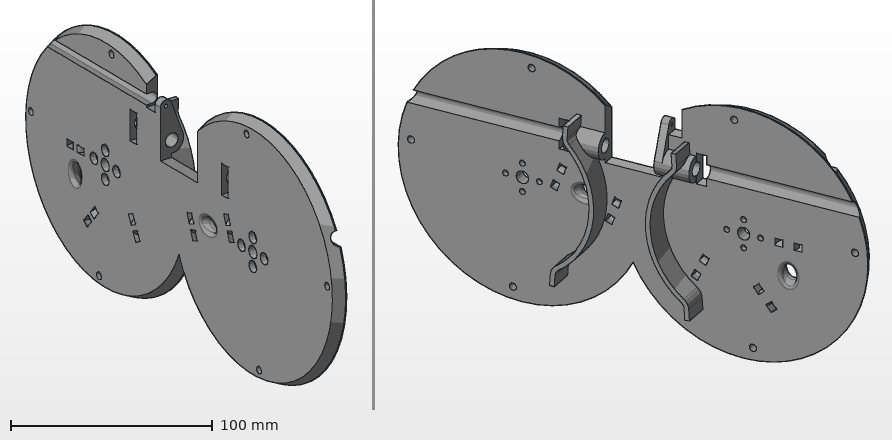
import cadquery as cq
import math


total_length = 264.8
disc_diameter = 140.0
disc_radius = disc_diameter / 2
disc_offset = total_length / 2 - disc_radius
plate_thickness = 7.0
total_depth = 21.0
root_depth = plate_thickness / 2
front_radius = 67.3
rim_land = 0.8

opening_half_width = 15.5
opening_floor = 20.0
notch_left = -27.5
notch_right = -20.0
notch_floor = 45.0
clear_height = 79.5

tab_radius = plate_thickness / 2
hinge_height = 49.3
channel_diameter = 6.0
channel_radius = channel_diameter / 2
pin_hole_radius = 0.93

axle_height = 29.7
axle_diameter = 7.7
axle_radius = axle_diameter / 2
tube_diameter = 14.5
tube_radius = tube_diameter / 2
tube_end = 35.5

clip_outer_diameter = 95.5
clip_outer_radius = clip_outer_diameter / 2
clip_wall = 2.6
clip_bend_radius = 6.5
fin_lean = math.radians(4)
upper_fin_distance = 27.5
lower_fin_distance = 26.2
upper_fin_reach = 45.5
lower_fin_reach = -46.5

window_x = 38.7
window_z = 30.0
window_width = 5.8
window_height = 17.2

edge_hole_radius = 1.99
edge_hole_circle = 63.0
edge_hole_angles = (85.2, 175.2, 265.2)
hub_hole_radius = 3.5
screw_radius = 1.5
screw_head_radius = 3.2
screw_head_depth = 3.5
screw_spacing_x = 9.5
screw_spacing_z = 8.0

cable_hole_radius = 4.0
cable_hole_slant = 40.0
cable_mouth_fillet = 1.99
left_cable_hole = (-87.6, -16.0)
right_cable_hole = (26.0, 0.0)

tie_outer_radius = 8.2
tie_inner_radius = 4.2
tie_width = 4.0
tie_depth = 4.0
tie_loops = (
    (-87.6, 0.0, 0),
    (-37.9, -25.2, -64.5),
    (-74.5, -33.0, 49.5),
    (11.0, -5.8, -70),
    (42.0, 5.3, -70),
)


def box(x_min, x_max, y_min, y_max, z_min, z_max):
    size = (x_max - x_min, y_max - y_min, z_max - z_min)
    return cq.Workplane("XY").box(*size, centered=False).translate((x_min, y_min, z_min))


def plate_box(x_min, x_max, z_min, z_max):
    """Box through the full plate thickness."""
    return box(x_min, x_max, 0, plate_thickness, z_min, z_max)


def rod_y(x, z, radius, y_min, y_max):
    """Cylinder along Y."""
    start = cq.Vector(x, y_min, z)
    return cq.Workplane(cq.Solid.makeCylinder(radius, y_max - y_min, start, cq.Vector(0, 1, 0)))


def rod_x(y, z, radius, x_min, x_max):
    """Cylinder along X."""
    start = cq.Vector(x_min, y, z)
    return cq.Workplane(cq.Solid.makeCylinder(radius, x_max - x_min, start, cq.Vector(1, 0, 0)))


def disc(center_x):
    half_profile = [
        (0, 0),
        (0, front_radius),
        (plate_thickness - rim_land, disc_radius),
        (plate_thickness, disc_radius),
        (plate_thickness, 0),
    ]
    body = cq.Workplane("YZ").polyline(half_profile).close().revolve(360, (0, 0), (1, 0))
    return body.translate((center_x, 0, 0))


def mirrored(body):
    return body.union(body.mirror("YZ"))


def fin_point(distance, reach):
    """Point at `distance` across and `reach` along the leaning fin direction, from the disc centre."""
    x = distance * math.cos(fin_lean) + reach * math.sin(fin_lean)
    z = reach * math.cos(fin_lean) - distance * math.sin(fin_lean)
    return (x - disc_offset, z)


def fin_root(distance, radius, side):
    """Where a fin face meets a circle about the disc centre, above (+1) or below (-1)."""
    return fin_point(distance, side * math.sqrt(radius**2 - distance**2))


def left_clip():
    inner_radius = clip_outer_radius - clip_wall
    upper_outer = upper_fin_distance + clip_wall
    lower_outer = lower_fin_distance + clip_wall
    upper_inner_root = fin_root(upper_fin_distance, inner_radius, 1)
    lower_inner_root = fin_root(lower_fin_distance, inner_radius, -1)
    upper_outer_root = fin_root(upper_outer, clip_outer_radius, 1)
    lower_outer_root = fin_root(lower_outer, clip_outer_radius, -1)
    clip = (
        cq.Workplane("XZ")
        .moveTo(*fin_point(upper_fin_distance, upper_fin_reach))
        .lineTo(*upper_inner_root)
        .threePointArc((inner_radius - disc_offset, 0), lower_inner_root)
        .lineTo(*fin_point(lower_fin_distance, lower_fin_reach))
        .lineTo(*fin_point(lower_outer, lower_fin_reach))
        .lineTo(*lower_outer_root)
        .threePointArc((clip_outer_radius - disc_offset, 0), upper_outer_root)
        .lineTo(*fin_point(upper_outer, upper_fin_reach))
        .close()
        .extrude(-total_depth)
    )
    bends = (
        (upper_inner_root, clip_bend_radius),
        (lower_inner_root, clip_bend_radius),
        (upper_outer_root, clip_bend_radius - clip_wall),
        (lower_outer_root, clip_bend_radius - clip_wall),
    )
    for (x, z), radius in bends:
        corner = cq.selectors.NearestToPointSelector((x, total_depth / 2, z))
        clip = clip.edges("|Y").edges(corner).fillet(radius)
    return clip.intersect(box(-total_length / 2, 0, root_depth, total_depth, -clear_height, clear_height))


def tab_web():
    """Round-topped tab, blended by a tangent flank into the axle tube."""
    rise_y = plate_thickness - tab_radius
    rise_z = hinge_height - axle_height
    tangent_angle = math.atan2(rise_y, rise_z) + math.asin(
        (tube_radius - tab_radius) / math.hypot(rise_y, rise_z)
    )
    normal_y = math.cos(tangent_angle)
    normal_z = math.sin(tangent_angle)
    outline = [
        (0, opening_floor),
        (0, hinge_height),
        (tab_radius, hinge_height),
        (tab_radius + tab_radius * normal_y, hinge_height + tab_radius * normal_z),
        (plate_thickness + tube_radius * normal_y, axle_height + tube_radius * normal_z),
        (plate_thickness, axle_height),
        (plate_thickness, opening_floor),
    ]
    width = -opening_half_width - notch_right
    web = cq.Workplane("YZ").polyline(outline).close().extrude(width)
    web = web.translate((notch_right, 0, 0))
    return web.union(rod_x(tab_radius, hinge_height, tab_radius, notch_right, -opening_half_width))


def hub_holes(center_x):
    holes = rod_y(center_x, 0, hub_hole_radius, 0, plate_thickness)
    for dx, dz in (
        (screw_spacing_x, 0),
        (-screw_spacing_x, 0),
        (0, screw_spacing_z),
        (0, -screw_spacing_z),
    ):
        holes = holes.union(rod_y(center_x + dx, dz, screw_radius, 0, plate_thickness))
        holes = holes.union(rod_y(center_x + dx, dz, screw_head_radius, 0, screw_head_depth))
    return holes


def edge_holes():
    holes = cq.Workplane("XY")
    for angle in edge_hole_angles:
        x = edge_hole_circle * math.cos(math.radians(angle)) - disc_offset
        z = edge_hole_circle * math.sin(math.radians(angle))
        holes = holes.add(rod_y(x, z, edge_hole_radius, 0, plate_thickness))
    return holes.combine()


def cut_cable_hole(body, position, axis, angle):
    """Round hole whose axis leans by `angle` about `axis`, with rounded mouths."""
    x, z = position
    pad_half = 4 * cable_hole_radius
    bore = rod_y(0, 0, cable_hole_radius, -pad_half, pad_half).rotate((0, 0, 0), axis, angle)
    bore = bore.translate((0, plate_thickness / 2, 0))
    pad = plate_box(-pad_half, pad_half, -pad_half, pad_half)
    rounded_pad = pad.cut(bore).edges("%ELLIPSE").fillet(cable_mouth_fillet)
    plug = pad.cut(rounded_pad)
    return body.cut(plug.translate((x, 0, z)))


def tie_loop(x, z, angle):
    ring = cq.Workplane("XY").circle(tie_outer_radius).circle(tie_inner_radius)
    loop = ring.extrude(tie_width / 2, both=True)
    return loop.rotate((0, 0, 0), (0, 1, 0), -angle).translate((x, tie_depth, z))


plate = mirrored(disc(-disc_offset))
plate = plate.cut(plate_box(notch_left, opening_half_width, notch_floor, clear_height))
plate = plate.cut(plate_box(-opening_half_width, opening_half_width, opening_floor, clear_height))

tube = rod_x(plate_thickness, axle_height, tube_radius, -tube_end, -opening_half_width)
tube = tube.intersect(box(-tube_end, 0, root_depth, total_depth, 0, clear_height))
body = plate.union(mirrored(tube)).union(mirrored(left_clip())).union(tab_web())

channel = rod_x(tab_radius, hinge_height, channel_radius, -total_length / 2, notch_left)
channel_bottom = hinge_height - channel_radius
channel_top = hinge_height + channel_radius
channel = channel.union(box(-total_length / 2, notch_left, 0, tab_radius, channel_bottom, channel_top))
body = body.cut(channel)
body = body.cut(rod_x(tab_radius, hinge_height, pin_hole_radius, notch_right, -opening_half_width))
body = body.cut(rod_x(plate_thickness, axle_height, axle_radius, -total_length / 2, total_length / 2))

window = plate_box(
    -window_x - window_width / 2,
    -window_x + window_width / 2,
    window_z - window_height / 2,
    window_z + window_height / 2,
)
body = body.cut(mirrored(window))
body = body.cut(mirrored(hub_holes(-disc_offset)))
body = body.cut(mirrored(edge_holes()))
body = cut_cable_hole(body, left_cable_hole, (1, 0, 0), -cable_hole_slant)
body = cut_cable_hole(body, right_cable_hole, (0, 0, 1), -cable_hole_slant)
for loop_x, loop_z, loop_angle in tie_loops:
    body = body.cut(tie_loop(loop_x, loop_z, loop_angle))

result = body